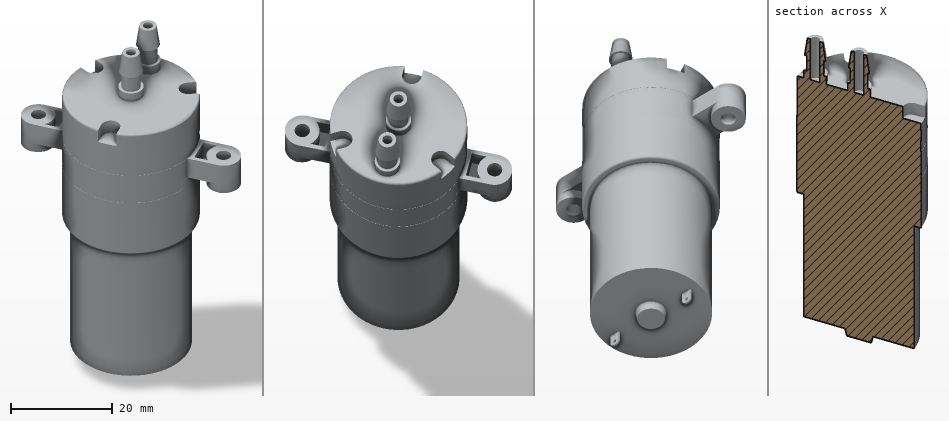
import cadquery as cq

motor_diameter = 24.2
motor_bottom = 3.25
terminal_spacing = 18.15
terminal_width = 2.1
terminal_thickness = 0.4
terminal_hole = 0.8
boss_diameter = 6.3
boss_tip_diameter = 5.45
boss_length = 1.7

head_diameter = 27.3
head_bottom = 34.1
head_top = 63.5
head_edge = 0.45
slim_diameter = 27.2
gasket_diameter = 27.15
cover_bottom = 54.6
ring_top = 53.5
ring_bottom = 46.75

notch_width = 3.8
notch_depth = 2.95
notch_center_radius = 11.5
notch_angles = (30, 150, 270)

port_spacing = 9.6
port_top = 73.75
collar_diameter = 5.0
collar_top = 65.5
neck_diameter = 3.8
barb_diameter = 4.7
barb_bottom = 69.2
barb_tip_diameter = 3.5
bore_diameter = 2.0

ear_width = 6.9
ear_span = 46.0
ear_bottom = 48.8
ear_post_diameter = 6.8
ear_hole = 3.0
ear_wall = 0.9
pocket_inner_x = 14.3
tab_width = 9.2

ear_radius = ear_width / 2
ear_center_x = ear_span / 2 - ear_radius
overlap = 0.75


def cylinder(diameter, bottom, top, x=0, y=0):
    """Upright cylinder between two heights."""
    return cq.Workplane("XY", origin=(x, y, bottom)).circle(diameter / 2).extrude(top - bottom)


def block(x_min, x_max, width, bottom, top):
    """Box between two X positions and two heights, centred on Y = 0."""
    return (
        cq.Workplane("XY", origin=((x_min + x_max) / 2, 0, bottom))
        .rect(x_max - x_min, width)
        .extrude(top - bottom)
    )


def make_head():
    """Housing, slightly slimmer ring with housing tabs, gasket and notched cover."""
    housing = cylinder(head_diameter, head_bottom, ring_bottom).faces("<Z").edges().fillet(head_edge)
    ring = cylinder(slim_diameter, ring_bottom, ring_top)
    gasket = cylinder(gasket_diameter, ring_top, cover_bottom)
    cover = cylinder(slim_diameter, cover_bottom, head_top).faces(">Z").edges().fillet(head_edge)

    tabs = cylinder(head_diameter, ring_bottom, ear_bottom).intersect(
        block(-head_diameter, head_diameter, tab_width, ring_bottom, ear_bottom)
    )
    head = housing.union(ring).union(tabs).union(gasket).union(cover)

    for angle in notch_angles:
        notch_bottom = head_top - notch_depth
        notch = cylinder(notch_width, notch_bottom, head_top, x=notch_center_radius)
        notch = notch.union(
            block(notch_center_radius, head_diameter, notch_width, notch_bottom, head_top)
        )
        head = head.cut(notch.rotate((0, 0, 0), (0, 0, 1), angle))
    return head


def make_ear():
    """Ear on the +X side: a round post joined to the head by a pocketed arm."""
    post = cylinder(ear_post_diameter, ring_bottom, ring_top, x=ear_center_x)
    end = cylinder(ear_width, ring_bottom, ring_top, x=ear_center_x).intersect(
        block(ear_center_x, ear_span, ear_width, ring_bottom, ring_top)
    )
    arm_root_x = head_diameter / 2 - 2 * overlap
    arm = block(arm_root_x, ear_center_x, ear_width, ear_bottom, ring_top)
    pocket = block(
        pocket_inner_x, ear_center_x, ear_width - 2 * ear_wall, ear_bottom + ear_wall, ring_top
    )
    hole = cylinder(ear_hole, ring_bottom, ring_top, x=ear_center_x)
    return arm.cut(pocket).union(post).union(end).cut(hole)


def make_port(y):
    """Hose barb with a collar, a neck and a tapered tip, bored down to the cover."""
    outline = [
        (bore_diameter / 2, head_top - overlap),
        (collar_diameter / 2, head_top - overlap),
        (collar_diameter / 2, collar_top),
        (neck_diameter / 2, collar_top),
        (neck_diameter / 2, barb_bottom),
        (barb_diameter / 2, barb_bottom),
        (barb_tip_diameter / 2, port_top),
        (bore_diameter / 2, port_top),
    ]
    port = cq.Workplane("XZ").polyline(outline).close().revolve(360, (0, 0), (0, 1))
    return port.translate((0, y, 0))


def make_terminal(x):
    """Flat solder tab with a rounded end and an eyelet."""
    radius = terminal_width / 2
    tab_top = motor_bottom + overlap
    tab = (
        cq.Workplane("XZ", origin=(x, terminal_thickness / 2, 0))
        .moveTo(-radius, tab_top)
        .lineTo(-radius, radius)
        .threePointArc((0, 0), (radius, radius))
        .lineTo(radius, tab_top)
        .close()
        .extrude(terminal_thickness)
    )
    eyelet = (
        cq.Workplane("XZ", origin=(x, terminal_thickness / 2, radius))
        .circle(terminal_hole / 2)
        .extrude(terminal_thickness)
    )
    return tab.cut(eyelet)


def make_boss():
    """Tapered bearing boss under the motor."""
    return (
        cq.Workplane("XY", origin=(0, 0, motor_bottom))
        .circle(boss_diameter / 2)
        .workplane(offset=-boss_length)
        .circle(boss_tip_diameter / 2)
        .loft()
    )


motor = cylinder(motor_diameter, motor_bottom, head_bottom + overlap)
ear = make_ear()
result = make_head().union(motor).union(make_boss()).union(ear).union(ear.mirror("YZ"))
for port_y in (0, port_spacing):
    result = result.union(make_port(port_y))
for side in (-1, 1):
    result = result.union(make_terminal(side * terminal_spacing / 2))